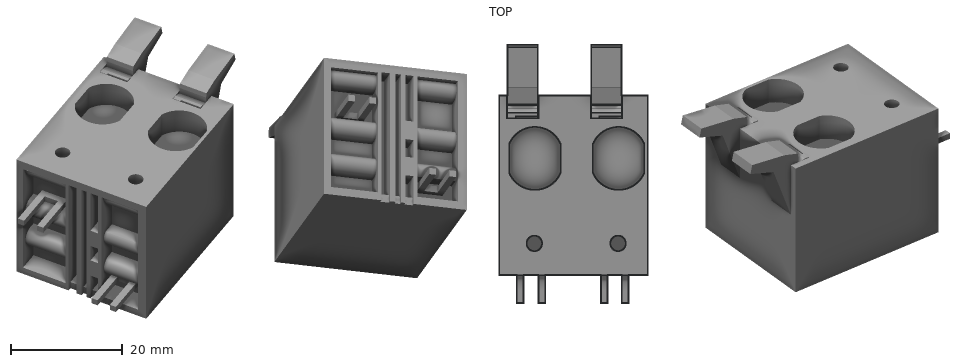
import cadquery as cq


WIDTH = 26.6
DEPTH = 32.2
HEIGHT = 26.5
FLOOR = 1.5
CHANNEL_PITCH = 15.0

RECESS_DEPTH = 3.9
RECESS_TOP = 24.92
LEFT_POCKET = (1.35, 10.1)
LEFT_POCKET_TOP = 24.8
RIGHT_POCKET = (17.4, 24.92)

BAR_RADIUS = 1.8
BAR_TIP = 0.92
UPPER_BAR_Z = 23.7
MIDDLE_BAR_Z = 14.25
LOWER_BAR_Z = 7.2
RIGHT_MIDDLE_BAR_TOP = 15.6
RIGHT_LOWER_BAR_BOTTOM = 6.0

WIDE_SLOT = (10.7, 12.3)
NARROW_SLOT = (13.35, 14.4)
WINDOW_SLOT = (15.15, 16.7)
FLOOR_NOTCH_DEPTH = 0.7

SOCKET_X = 6.4
SOCKET_Y = 20.9
SOCKET_END_RADIUS = 5.0
SOCKET_LENGTH = 11.3
SOCKET_WIDTH = 9.25
SOCKET_DEPTH = 5.0
PROBE_X = 6.3
PROBE_Y = 5.7
PROBE_DIAMETER = 2.77
PROBE_DEPTH = 5.0

LEVER_X = 4.2
LEVER_WIDTH = 5.45
LEVER_SLOT_WIDTH = 5.7
LEVER_FRONT = 28.1
LEVER_BOTTOM = 15.9
LEVER_FACE = 30.43
LEVER_SHOULDER = 26.6
NOTCH_DEPTH = 0.32
NOTCH_HEIGHT = 1.0
NOTCH_OFFSET = 1.45
TIP_Y = 41.25
TOTAL_HEIGHT = 29.9

PRONG = 1.25
TERMINAL_THICKNESS = 1.2
TERMINAL_REACH = 5.0
LEFT_TERMINAL_WIDTH = 5.2
LEFT_TERMINAL_X = 3.1
LEFT_TERMINAL_Z = 16.4
RIGHT_TERMINAL_WIDTH = 5.0
RIGHT_TERMINAL_X = 18.15
RIGHT_TERMINAL_Z = 3.95


def box(x_limits, y_limits, z_limits):
    """Box between two limits on each axis."""
    size = [high - low for low, high in (x_limits, y_limits, z_limits)]
    corner = (x_limits[0], y_limits[0], z_limits[0])
    return cq.Workplane("XY").box(*size, centered=False).translate(corner)


def recess(x_limits, bottom, top):
    """Cutter for a recess that opens on the front face."""
    return box(x_limits, (0, RECESS_DEPTH), (bottom, top))


def bar(x_limits, centre_z):
    """Bar from the back of a pocket, with a half-round front."""
    centre_y = BAR_TIP + BAR_RADIUS
    bottom = centre_z - BAR_RADIUS
    top = centre_z + BAR_RADIUS
    return (
        cq.Workplane("YZ", origin=(x_limits[0], 0, 0))
        .moveTo(RECESS_DEPTH, bottom)
        .lineTo(centre_y, bottom)
        .threePointArc((BAR_TIP, centre_z), (centre_y, top))
        .lineTo(RECESS_DEPTH, top)
        .close()
        .extrude(x_limits[1] - x_limits[0])
    )


def left_pocket():
    cutter = recess(LEFT_POCKET, FLOOR, LEFT_POCKET_TOP)
    for centre_z in (UPPER_BAR_Z, MIDDLE_BAR_Z, LOWER_BAR_Z):
        cutter = cutter.cut(bar(LEFT_POCKET, centre_z))
    return cutter


def right_pocket():
    cutter = recess(RIGHT_POCKET, FLOOR, RECESS_TOP)
    middle_bar = bar(RIGHT_POCKET, MIDDLE_BAR_Z).intersect(
        recess(RIGHT_POCKET, FLOOR, RIGHT_MIDDLE_BAR_TOP)
    )
    lower_bar = bar(RIGHT_POCKET, LOWER_BAR_Z).intersect(
        recess(RIGHT_POCKET, RIGHT_LOWER_BAR_BOTTOM, RECESS_TOP)
    )
    return cutter.cut(bar(RIGHT_POCKET, UPPER_BAR_Z)).cut(middle_bar).cut(lower_bar)


def front_slots():
    """Two plain slots and one that cross walls divide into three windows."""
    middle_wall = (MIDDLE_BAR_Z - BAR_RADIUS, MIDDLE_BAR_Z + BAR_RADIUS)
    lower_wall = (LOWER_BAR_Z - BAR_RADIUS, LOWER_BAR_Z + BAR_RADIUS)
    openings = [
        (WIDE_SLOT, FLOOR, RECESS_TOP),
        (NARROW_SLOT, FLOOR, RECESS_TOP),
        (WINDOW_SLOT, middle_wall[1], RECESS_TOP),
        (WINDOW_SLOT, lower_wall[1], middle_wall[0]),
        (WINDOW_SLOT, FLOOR, lower_wall[0]),
    ]
    cutters = [recess(*opening) for opening in openings]
    for x_limits in (WIDE_SLOT, NARROW_SLOT, WINDOW_SLOT):
        cutters.append(box(x_limits, (0, FLOOR_NOTCH_DEPTH), (0, FLOOR)))
    return cutters


def socket(centre_x):
    """Long opening with rounded ends and flattened sides."""
    bottom = HEIGHT - SOCKET_DEPTH
    rounded = (
        cq.Workplane("XY", origin=(centre_x, SOCKET_Y, bottom))
        .slot2D(SOCKET_LENGTH, 2 * SOCKET_END_RADIUS, 90)
        .extrude(SOCKET_DEPTH)
    )
    flats = (
        cq.Workplane("XY", origin=(centre_x, SOCKET_Y, bottom))
        .rect(SOCKET_WIDTH, SOCKET_LENGTH)
        .extrude(SOCKET_DEPTH)
    )
    return rounded.intersect(flats)


def probe_hole(centre_x):
    return (
        cq.Workplane("XY", origin=(centre_x, PROBE_Y, HEIGHT - PROBE_DEPTH))
        .circle(PROBE_DIAMETER / 2)
        .extrude(PROBE_DEPTH)
    )


def lever_slot(centre_x):
    """Slot that opens on the top and the back of the housing."""
    half_width = LEVER_SLOT_WIDTH / 2
    return box(
        (centre_x - half_width, centre_x + half_width),
        (LEVER_FRONT, DEPTH),
        (LEVER_BOTTOM, HEIGHT),
    )


def make_housing():
    body = box((0, WIDTH), (0, DEPTH), (0, HEIGHT))
    body = body.cut(left_pocket()).cut(right_pocket())
    for cutter in front_slots():
        body = body.cut(cutter)
    for shift in (0, CHANNEL_PITCH):
        body = body.cut(socket(SOCKET_X + shift))
        body = body.cut(probe_hole(PROBE_X + shift))
        body = body.cut(lever_slot(LEVER_X + shift))
    return body


def make_lever(centre_x):
    """Bent handle on a foot that fills the depth of its slot."""
    left = centre_x - LEVER_WIDTH / 2
    right = centre_x + LEVER_WIDTH / 2
    profile = [
        (LEVER_FRONT, LEVER_BOTTOM),
        (DEPTH, LEVER_BOTTOM),
        (36.0, 26.5),
        (TIP_Y, 28.15),
        (40.85, TOTAL_HEIGHT),
        (33.6, 29.15),
        (30.55, 28.3),
        (LEVER_FACE, 27.37),
        (LEVER_FACE, 26.1),
        (29.9, 26.25),
        (29.05, LEVER_SHOULDER),
        (LEVER_FRONT, LEVER_SHOULDER),
    ]
    body = cq.Workplane("YZ", origin=(left, 0, 0)).polyline(profile).close().extrude(LEVER_WIDTH)
    notch = box(
        (left + NOTCH_OFFSET, right),
        (LEVER_FRONT, LEVER_FRONT + NOTCH_DEPTH),
        (LEVER_SHOULDER - NOTCH_HEIGHT, LEVER_SHOULDER),
    )
    return body.cut(notch)


def make_terminal(left, bottom, width):
    """Fork whose back rests against the back of a pocket."""
    z_limits = (bottom, bottom + TERMINAL_THICKNESS)
    plate = box((left, left + width), (-TERMINAL_REACH, RECESS_DEPTH), z_limits)
    gap = box(
        (left + PRONG, left + width - PRONG),
        (-TERMINAL_REACH, RECESS_DEPTH - PRONG),
        z_limits,
    )
    return plate.cut(gap)


housing = make_housing()
levers = [make_lever(LEVER_X + shift) for shift in (0, CHANNEL_PITCH)]
terminals = [
    make_terminal(LEFT_TERMINAL_X, LEFT_TERMINAL_Z, LEFT_TERMINAL_WIDTH),
    make_terminal(RIGHT_TERMINAL_X, RIGHT_TERMINAL_Z, RIGHT_TERMINAL_WIDTH),
]

result = cq.Compound.makeCompound([
    housing.val(),
    *[lever.val() for lever in levers],
    *[terminal.val() for terminal in terminals],
])